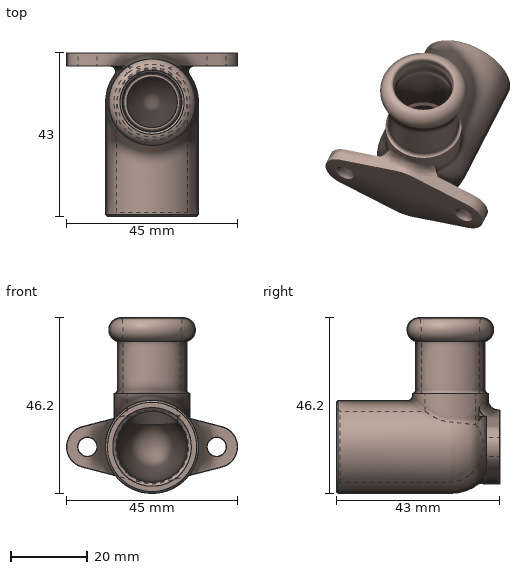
import cadquery as cq
import math

main_od = 24.5
main_bore = 18.7
main_length = 30.0
main_rim_chamfer = 0.5
main_mouth_chamfer = 1.0
bore_end_y = -0.65

collar_od = 20.0
collar_top = 14.0
shoulder_radius = 1.0
collar_root_fillet = 1.0
neck_od = 18.3
passage_bore = 13.3
socket_bore = 15.3
mouth_bore = 15.7
socket_top = 34.0
socket_depth = 20.0

bead_od = 22.8
bead_radius = 3.2
bead_center_z = socket_top - bead_radius
bead_center_r = bead_od / 2 - bead_radius
lip_radius = 0.7

seal_width = 2.7
seal_bulge = (mouth_bore - socket_bore) / 2
mouth_bottom = 28.3
mouth_taper_length = 0.8

plate_back = 13.0
plate_thickness = 3.5
plate_front = plate_back - plate_thickness
plate_hub_radius = 9.75
ear_radius = 5.5
ear_offset = 17.0
ear_hole = 5.0
ear_slope_sine = (plate_hub_radius - ear_radius) / ear_offset
ear_slope_cosine = math.sqrt(1 - ear_slope_sine**2)
flare_radius = 1.4
gusset_fillet = 2.5

tolerance = 0.01


def cylinder_y(diameter, y_start, y_end):
    """Cylinder on the Y axis between two Y positions."""
    return cq.Workplane("XZ", origin=(0, y_start, 0)).circle(diameter / 2).extrude(y_start - y_end)


def is_collar_root(edge):
    """True for an edge that runs around the foot of the collar."""
    points = [edge.positionAt(fraction) for fraction in (0, 0.5, 1)]
    heights = [point.z for point in points]
    on_surface = all(abs(math.hypot(point.x, point.y) - collar_od / 2) < tolerance for point in points)
    below_top = max(heights) < collar_top - tolerance
    varies_in_height = min(heights) < max(heights)
    return on_surface and below_top and varies_in_height


def make_collar():
    """Thick cylinder at the foot of the upright socket."""
    return cq.Workplane("XY").circle(collar_od / 2).extrude(collar_top)


def make_elbow():
    """Horizontal tube with a spherical end, joined to the collar by a fillet."""
    tube = cylinder_y(main_od, 0, -main_length).faces("<Y").edges().chamfer(main_rim_chamfer)
    ball = cq.Workplane("XY").sphere(main_od / 2)
    elbow = tube.union(ball).union(make_collar())
    root_edges = [edge for edge in elbow.edges().vals() if is_collar_root(edge)]
    return elbow.newObject(root_edges).fillet(collar_root_fillet)


def make_neck():
    """Concave shoulder, straight neck and rolled bead of the upright socket."""
    neck_r = neck_od / 2
    shoulder_center_x = neck_r + shoulder_radius
    shoulder_center_z = collar_top + shoulder_radius
    shoulder_start_z = shoulder_center_z - math.sqrt(
        shoulder_radius**2 - (shoulder_center_x - collar_od / 2) ** 2
    )
    bead_foot_z = bead_center_z - math.sqrt(bead_radius**2 - (neck_r - bead_center_r) ** 2)
    return (
        cq.Workplane("XZ")
        .lineTo(collar_od / 2, 0)
        .lineTo(collar_od / 2, shoulder_start_z)
        .radiusArc((neck_r, shoulder_center_z), shoulder_radius)
        .lineTo(neck_r, bead_foot_z)
        .threePointArc((bead_center_r + bead_radius, bead_center_z), (bead_center_r, socket_top))
        .lineTo(0, socket_top)
        .close()
        .revolve(360, (0, 0, 0), (0, 1, 0))
    )


def make_plate(thickness):
    """Hub circle and two ears joined by tangent lines, extruded from the back toward -Y."""
    hub_x, hub_z = plate_hub_radius * ear_slope_sine, plate_hub_radius * ear_slope_cosine
    ear_x, ear_z = ear_offset + ear_radius * ear_slope_sine, ear_radius * ear_slope_cosine
    tip_x = ear_offset + ear_radius
    return (
        cq.Workplane("XZ", origin=(0, plate_back, 0))
        .moveTo(-hub_x, hub_z)
        .threePointArc((0, plate_hub_radius), (hub_x, hub_z))
        .lineTo(ear_x, ear_z)
        .threePointArc((tip_x, 0), (ear_x, -ear_z))
        .lineTo(hub_x, -hub_z)
        .threePointArc((0, -plate_hub_radius), (-hub_x, -hub_z))
        .lineTo(-ear_x, -ear_z)
        .threePointArc((-tip_x, 0), (-ear_x, ear_z))
        .close()
        .extrude(thickness)
    )


def make_flare():
    """Concave round between the ball and the front of the plate, trimmed to the plate outline."""
    ball_r = main_od / 2
    center_y = plate_front - flare_radius
    center_r = math.sqrt((ball_r + flare_radius) ** 2 - center_y**2)
    shrink = ball_r / (ball_r + flare_radius)
    ball_point = (center_r * shrink, center_y * shrink)
    profile = (
        cq.Workplane("XY")
        .moveTo(0, ball_point[1])
        .lineTo(*ball_point)
        .threePointArc((center_r - flare_radius, center_y), (center_r, plate_front))
        .lineTo(0, plate_front)
        .close()
    )
    flare = profile.revolve(360, (0, 0, 0), (0, 1, 0))
    return flare.intersect(make_plate(plate_back))


def make_gusset():
    """Fillet between the collar and the top of the plate, ending where its edge meets the plate front."""
    blank = make_plate(2 * plate_back).union(make_collar())
    collar_edges = [edge for edge in blank.edges().vals() if is_collar_root(edge)]
    filleted = blank.newObject(collar_edges).fillet(gusset_fillet)
    corner_r = collar_od / 2 + gusset_fillet
    corner_x = math.sqrt(corner_r**2 - plate_front**2)
    floor_z = (plate_hub_radius - corner_x * ear_slope_sine) / ear_slope_cosine
    half_width = plate_back * corner_x / plate_front
    sector = (
        cq.Workplane("XY", origin=(0, 0, floor_z))
        .polyline([(0, 0), (half_width, plate_back), (-half_width, plate_back)])
        .close()
        .extrude(collar_top - floor_z)
    )
    return filleted.intersect(sector)


def make_main_bore():
    """Horizontal bore with a spherical end and a conical mouth."""
    bore_r = main_bore / 2
    mouth_r = bore_r + main_mouth_chamfer
    return (
        cq.Workplane("XY")
        .moveTo(0, -main_length)
        .lineTo(mouth_r, -main_length)
        .lineTo(bore_r, -main_length + main_mouth_chamfer)
        .lineTo(bore_r, bore_end_y)
        .radiusArc((0, bore_end_y + bore_r), -bore_r)
        .close()
        .revolve(360, (0, 0, 0), (0, 1, 0))
    )


def make_upright_bore():
    """Stepped bore of the upright socket, with an inward-bulging seal ring and a rounded lip."""
    passage_r = passage_bore / 2
    socket_r = socket_bore / 2
    mouth_r = mouth_bore / 2
    socket_floor = socket_top - socket_depth
    seal_low = bead_center_z - seal_width / 2
    seal_high = bead_center_z + seal_width / 2
    return (
        cq.Workplane("XZ")
        .lineTo(passage_r, 0)
        .lineTo(passage_r, socket_floor)
        .lineTo(socket_r, socket_floor)
        .lineTo(socket_r, mouth_bottom - mouth_taper_length)
        .lineTo(mouth_r, mouth_bottom)
        .lineTo(mouth_r, seal_low)
        .threePointArc((mouth_r - seal_bulge, bead_center_z), (mouth_r, seal_high))
        .lineTo(mouth_r, socket_top - lip_radius)
        .radiusArc((mouth_r + lip_radius, socket_top), lip_radius)
        .lineTo(0, socket_top)
        .close()
        .revolve(360, (0, 0, 0), (0, 1, 0))
    )


def make_ear_holes():
    """Two screw holes through the plate ears."""
    return (
        cq.Workplane("XZ", origin=(0, plate_back, 0))
        .pushPoints([(-ear_offset, 0), (ear_offset, 0)])
        .circle(ear_hole / 2)
        .extrude(plate_thickness)
    )


result = make_elbow().union(make_plate(plate_thickness)).union(make_flare()).union(make_neck())
result = result.union(make_gusset())
result = result.cut(make_main_bore()).cut(make_upright_bore()).cut(make_ear_holes())